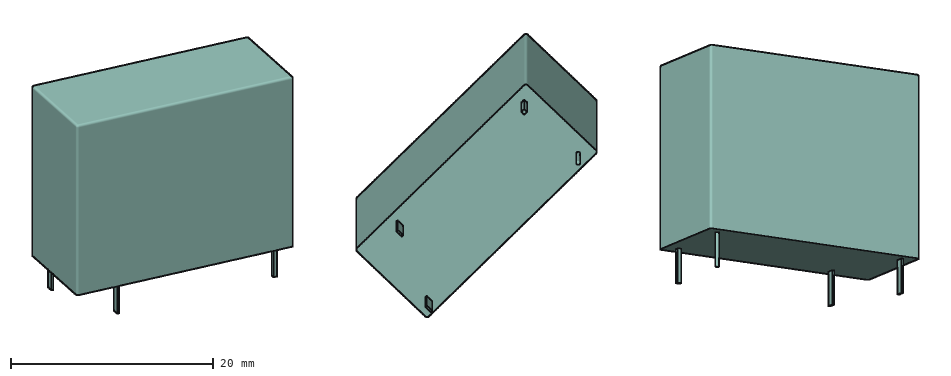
import cadquery as cq

OVERALL_Z = 22.3

PIN_LENGTH = 3.5
ROW_X = 3.75

HOUSING_X = 10.0
HOUSING_Y = 24.0
HOUSING_Z = OVERALL_Z - PIN_LENGTH
HOUSING_FILLET = 0.25

COIL_PIN_Y = 10.5
COIL_PIN_WIDTH = 0.4
COIL_PIN_TIP_FILLET = 0.15

CONTACT_PIN_WIDTH = 0.8
CONTACT_PIN_THICKNESS = 0.2
CONTACT_PIN_PLACES = [(-ROW_X, -10.5), (ROW_X, -7.0)]


def make_housing():
    """Block with rounded upright and top edges and a sharp bottom rim."""
    block = cq.Workplane("XY").box(HOUSING_X, HOUSING_Y, HOUSING_Z, centered=(True, True, False))
    return block.edges("|Z or >Z").fillet(HOUSING_FILLET)


def make_round_pin(x, y, diameter, tip_fillet):
    """Round pin hanging from the housing, with a rounded tip."""
    pin = cq.Workplane("XY").center(x, y).circle(diameter / 2).extrude(-PIN_LENGTH)
    return pin.faces("<Z").edges().fillet(tip_fillet)


def make_rectangular_pin(x, y, size_x, size_y):
    """Sharp-edged rectangular pin hanging from the housing."""
    return cq.Workplane("XY").center(x, y).rect(size_x, size_y).extrude(-PIN_LENGTH)


result = make_housing()
result = result.union(make_round_pin(-ROW_X, COIL_PIN_Y, COIL_PIN_WIDTH, COIL_PIN_TIP_FILLET))
result = result.union(make_rectangular_pin(ROW_X, COIL_PIN_Y, COIL_PIN_WIDTH, COIL_PIN_WIDTH))
for contact_x, contact_y in CONTACT_PIN_PLACES:
    contact_pin = make_rectangular_pin(contact_x, contact_y, CONTACT_PIN_WIDTH, CONTACT_PIN_THICKNESS)
    result = result.union(contact_pin)